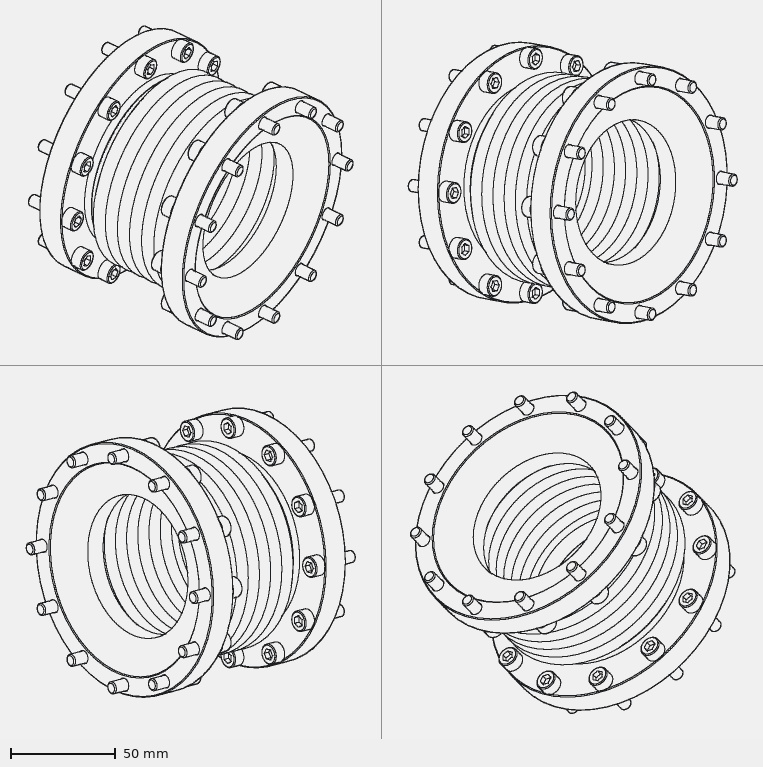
import cadquery as cq
import math


flange_dia = 124.0
flange_face_x = 43.5
flange_back_x = 30.0
edge_chamfer = 0.5
recess_dia = 104.0
recess_floor_x = 34.6
recess_fillet = 1.9
bore_dia = 70.0

hub_dia = 88.0
groove_dia = 87.4
groove_width = 0.5
collar_dia = 89.0
collar_x = 25.4

crest_count = 6
pitch = 7.3
wall = 1.2
crest_dia = 101.7
root_dia = 78.9
crest_arc = 2.4
root_arc = pitch / 2 - crest_arc
crest_center = crest_dia / 2 - crest_arc
root_center = root_dia / 2 + root_arc
last_root_x = crest_count * pitch / 2
bellows_end_x = last_root_x + root_arc + wall

screw_count = 12
screw_circle_dia = 114.0
shank_dia = 6.0
clearance_dia = 6.5
head_dia = 10.0
head_height = 6.0
overall_length = 104.0
screw_tip_x = overall_length / 2
tip_chamfer = 0.6
head_chamfer = 0.5
socket_across_flats = 5.0
socket_depth = 3.0


def disc(dia, start_x, end_x):
    """Solid cylinder along X between two distances from the mid plane."""
    return cq.Workplane("YZ").workplane(offset=start_x).circle(dia / 2).extrude(end_x - start_x)


def make_flange():
    """Flange, hub and weld collar of the +X end, recessed and bored, without screw holes."""
    flange = disc(flange_dia, flange_back_x, flange_face_x).edges().chamfer(edge_chamfer)
    groove_end_x = collar_x + groove_width
    hub = disc(hub_dia, groove_end_x, flange_back_x)
    groove = disc(groove_dia, collar_x, groove_end_x)
    collar = disc(collar_dia, bellows_end_x, collar_x)
    recess = disc(recess_dia, recess_floor_x, flange_face_x).faces("<X").edges().fillet(recess_fillet)
    bore = disc(bore_dia, bellows_end_x, flange_face_x)
    body = flange.union(hub).union(groove).union(collar).cut(recess).cut(bore)
    return body.faces(">X").edges(cq.selectors.RadiusNthSelector(0)).chamfer(edge_chamfer)


def make_screw():
    """Screw on the X axis, head towards the mid plane."""
    head_top_x = flange_back_x - head_height
    head = disc(head_dia, head_top_x, flange_back_x).faces("<X").edges().chamfer(head_chamfer)
    shank = disc(shank_dia, flange_back_x, screw_tip_x).faces(">X").edges().chamfer(tip_chamfer)
    across_corners = socket_across_flats / math.cos(math.pi / 6)
    socket = (
        cq.Workplane("YZ")
        .workplane(offset=head_top_x)
        .polygon(6, across_corners)
        .extrude(socket_depth)
    )
    return head.union(shank).cut(socket)


def at_screw_places(shape):
    """Copies of a shape that lies on the X axis, moved out to the screw circle and spread around it."""
    moved = shape.val().translate(cq.Vector(0, screw_circle_dia / 2, 0))
    step = 360 / screw_count
    copies = [moved.rotate((0, 0, 0), (1, 0, 0), index * step) for index in range(screw_count)]
    return cq.Workplane("YZ").newObject(copies).combine()


def add_half_circle(path, center_x, center_r, radius, side, direction):
    """Run along X through a half circle that bulges outwards (side 1) or inwards (side -1)."""
    start = (center_x - direction * radius, center_r)
    middle = (center_x, center_r + side * radius)
    end = (center_x + direction * radius, center_r)
    return path.lineTo(*start).threePointArc(middle, end)


def add_waves(path, root_radius, crest_radius, direction):
    """Run along X through all roots and crests; direction 1 goes towards +X, -1 towards -X."""
    for index in range(crest_count):
        root_x = direction * (index * pitch - last_root_x)
        crest_x = root_x + direction * pitch / 2
        path = add_half_circle(path, root_x, root_center, root_radius, -1, direction)
        path = add_half_circle(path, crest_x, crest_center, crest_radius, 1, direction)
    return add_half_circle(path, direction * last_root_x, root_center, root_radius, -1, direction)


def make_bellows():
    """Corrugated wall whose two ends turn outwards into the faces of the weld collars."""
    collar_radius = collar_dia / 2
    end_face_x = last_root_x + root_arc
    path = cq.Workplane("XY").moveTo(-bellows_end_x, collar_radius).lineTo(-end_face_x, collar_radius)
    path = add_waves(path, root_arc, crest_arc, 1)
    path = path.lineTo(end_face_x, collar_radius).lineTo(bellows_end_x, collar_radius)
    path = add_waves(path, root_arc + wall, crest_arc - wall, -1)
    return path.close().revolve(360, (0, 0, 0), (1, 0, 0))


screw_hole = disc(clearance_dia, flange_back_x, flange_face_x)
end_fitting = make_flange().cut(at_screw_places(screw_hole)).union(at_screw_places(make_screw()))

result = make_bellows().union(end_fitting).union(end_fitting.mirror("YZ"))